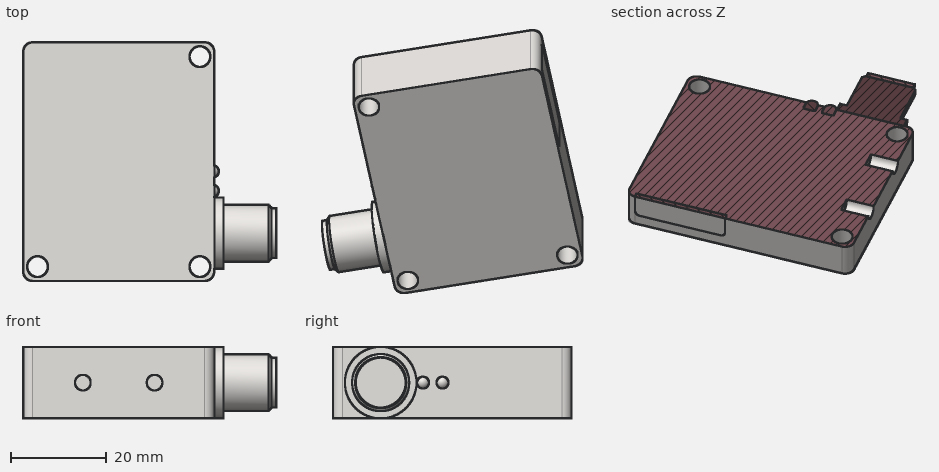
import cadquery as cq
import math

LENGTH = 40.0
WIDTH = 50.0
HEIGHT = 15.0
CORNER_RADIUS = 2.0
MID_HEIGHT = HEIGHT / 2

MOUNT_HOLE_DIAMETER = 4.3
MOUNT_HOLE_INSET = 3.0

FRONT_HOLE_DIAMETER = 3.3
FRONT_HOLE_DEPTH = 6.0
FRONT_HOLE_SPACING = 15.0
FIRST_FRONT_HOLE_X = 12.5

PANE_WIDTH = 20.0
PANE_HEIGHT = 10.0
PANE_THICKNESS = 1.0
PANE_CORNER_RADIUS = 1.0
PANE_CENTER_Y = WIDTH - CORNER_RADIUS - PANE_WIDTH / 2

LAMP_DIAMETER = 2.5
LAMP_DOME_HEIGHT = 0.95
LAMP_STEM_DEPTH = 2.0
LAMP_SPACING = 4.1
FIRST_LAMP_Y = 18.85
LAMP_COUNT = 2

OVERALL_LENGTH = 53
CONNECTOR_Y = 10.0
FLANGE_DIAMETER = HEIGHT
FLANGE_THICKNESS = 1.95
BARREL_DIAMETER = 12.0
BARREL_LENGTH = 9.95
BARREL_CHAMFER = 0.65
TIP_DIAMETER = 10.45
BARREL_START_X = LENGTH + FLANGE_THICKNESS
BARREL_END_X = BARREL_START_X + BARREL_LENGTH


def cylinder_along_x(x, y, diameter, length):
    """Cylinder at mid height that starts at x and runs toward +X."""
    return cq.Workplane("YZ", origin=(x, y, MID_HEIGHT)).circle(diameter / 2).extrude(length)


def make_pane():
    return (
        cq.Workplane("YZ", origin=(0, PANE_CENTER_Y, MID_HEIGHT))
        .rect(PANE_WIDTH, PANE_HEIGHT)
        .extrude(PANE_THICKNESS)
        .edges("|X")
        .fillet(PANE_CORNER_RADIUS)
    )


def make_lamp(y):
    radius = LAMP_DIAMETER / 2
    dome_radius = (radius**2 + LAMP_DOME_HEIGHT**2) / (2 * LAMP_DOME_HEIGHT)
    dome_center_x = LAMP_DOME_HEIGHT - dome_radius
    half_angle = math.asin(radius / dome_radius) / 2
    dome_mid_point = (
        dome_center_x + dome_radius * math.cos(half_angle),
        dome_radius * math.sin(half_angle),
    )
    return (
        cq.Workplane("XY", origin=(LENGTH, y, MID_HEIGHT))
        .moveTo(-LAMP_STEM_DEPTH, 0)
        .lineTo(-LAMP_STEM_DEPTH, radius)
        .lineTo(0, radius)
        .threePointArc(dome_mid_point, (LAMP_DOME_HEIGHT, 0))
        .close()
        .revolve(360, (0, 0), (1, 0))
    )


def make_connector():
    flange = cylinder_along_x(LENGTH, CONNECTOR_Y, FLANGE_DIAMETER, FLANGE_THICKNESS)
    barrel = cylinder_along_x(BARREL_START_X, CONNECTOR_Y, BARREL_DIAMETER, BARREL_LENGTH)
    barrel = barrel.faces(">X").edges().chamfer(BARREL_CHAMFER)
    return flange.union(barrel)


def make_connector_tip():
    return cylinder_along_x(BARREL_END_X, CONNECTOR_Y, TIP_DIAMETER, OVERALL_LENGTH - BARREL_END_X)


def make_housing(inserts):
    """Housing block with its holes and a matching recess for each insert."""
    block = (
        cq.Workplane("XY")
        .box(LENGTH, WIDTH, HEIGHT, centered=False)
        .edges("|Z")
        .fillet(CORNER_RADIUS)
    )
    left_x = MOUNT_HOLE_INSET
    front_y = MOUNT_HOLE_INSET
    right_x = LENGTH - MOUNT_HOLE_INSET
    back_y = WIDTH - MOUNT_HOLE_INSET
    mount_holes = (
        cq.Workplane("XY")
        .pushPoints([(left_x, front_y), (right_x, front_y), (right_x, back_y)])
        .circle(MOUNT_HOLE_DIAMETER / 2)
        .extrude(HEIGHT)
    )
    front_holes = (
        cq.Workplane("XZ", origin=(FIRST_FRONT_HOLE_X, 0, MID_HEIGHT))
        .pushPoints([(0, 0), (FRONT_HOLE_SPACING, 0)])
        .circle(FRONT_HOLE_DIAMETER / 2)
        .extrude(-FRONT_HOLE_DEPTH)
    )
    block = block.cut(mount_holes).cut(front_holes)
    for insert in inserts:
        block = block.cut(insert)
    return block


pane = make_pane()
lamps = [make_lamp(FIRST_LAMP_Y + i * LAMP_SPACING) for i in range(LAMP_COUNT)]
connector = make_connector()
connector_tip = make_connector_tip()
housing = make_housing([pane, *lamps])

result = cq.Compound.makeCompound(
    [
        housing.val(),
        pane.val(),
        connector.val(),
        connector_tip.val(),
        *[lamp.val() for lamp in lamps],
    ]
)